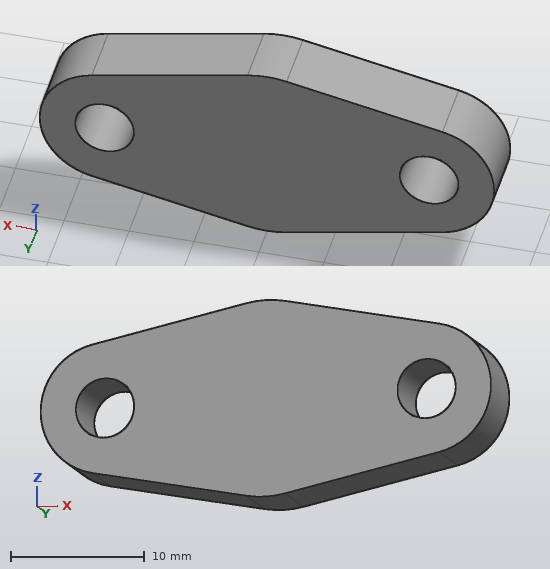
import cadquery as cq
import math

length = 35.0
thickness = 5.0
waist_diameter = 15.0
end_radius = 5.0
hole_diameter = 4.5

waist_radius = waist_diameter / 2
hole_offset = length / 2 - end_radius

normal_x = (waist_radius - end_radius) / hole_offset
normal_z = math.sqrt(1 - normal_x**2)
waist_x = waist_radius * normal_x
waist_z = waist_radius * normal_z
end_x = hole_offset + end_radius * normal_x
end_z = end_radius * normal_z


def make_plate():
    """Flange with round ends and tangent flanks, centred on the origin."""
    return (
        cq.Workplane("XZ", origin=(0, thickness / 2, 0))
        .moveTo(-waist_x, waist_z)
        .threePointArc((0, waist_radius), (waist_x, waist_z))
        .lineTo(end_x, end_z)
        .threePointArc((length / 2, 0), (end_x, -end_z))
        .lineTo(waist_x, -waist_z)
        .threePointArc((0, -waist_radius), (-waist_x, -waist_z))
        .lineTo(-end_x, -end_z)
        .threePointArc((-length / 2, 0), (-end_x, end_z))
        .close()
        .extrude(thickness)
    )


def make_holes():
    """Cylinders for the two bolt holes through the plate."""
    return (
        cq.Workplane("XZ", origin=(0, thickness / 2, 0))
        .pushPoints([(-hole_offset, 0), (hole_offset, 0)])
        .circle(hole_diameter / 2)
        .extrude(thickness)
    )


result = make_plate().cut(make_holes())